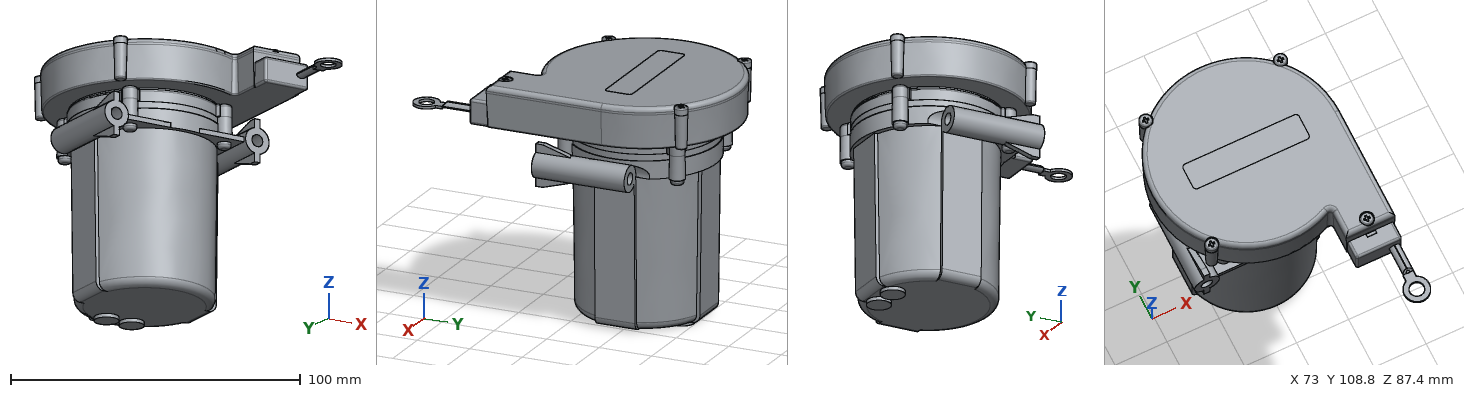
import cadquery as cq
import math


volute_radius = 35.9
volute_height = 15.2
lid_height = 2.5
lid_edge_radius = 1.7
volute_draft = 1.7
volute_foot_radius = 0.5
outlet_wall_x = 17.1
outlet_end_y = -43.7
outlet_middle_x = (outlet_wall_x + volute_radius) / 2
outlet_corner_radius = 1.1
label_length = 44.6
label_width = 10.2
label_corner_radius = 1.3
label_depth = 0.1

housing_screw_offset = 25.9
outlet_screw_y = -40.8
screw_head_diameter = 4.8
screw_head_height = 1.0
screw_head_fillet = 0.4
screw_recess_diameter = 5.1
cross_length = 2.3
cross_width = 0.7
cross_depth = 0.7
boss_lid_diameter = 4.8
boss_top_diameter = 4.6
boss_bottom_diameter = 4.0

joint_overlap = 1.1

connector_inset = 0.7
connector_end_y = -50.5
connector_top_z = -6.0
connector_fillet = 0.9
notch_width = 3.6
notch_length = 1.2
notch_depth = 0.2

terminal_x = 32.3
terminal_thickness = 1.0
terminal_bottom_z = -11.6
terminal_width = 4.0
ring_y = -68.1
ring_diameter = 9.6
ring_hole_diameter = 5.4
barrel_middle_z = -10.5
barrel_rise = 1.3
barrel_end_y = -61.3
barrel_slope_length = 1.2
seam_width = 0.2
wire_hole_diameter = 1.3
wire_hole_depth = 3.3

neck_joint_diameter = 52.8
neck_top_z = -15.7
neck_split_z = -20.3
neck_step_z = -22.7
neck_bottom_z = -29.4
neck_radius = 26.9
neck_band_radius = 26.7
neck_skirt_radius = 27.1
neck_edge_radius = 0.9

neck_screw_x = 19.1
neck_screw_y = 21.2
neck_boss_top_diameter = 5.4
neck_boss_bottom_diameter = 5.8
boss_web_width = 6.5
boss_web_setback = 0.5
screw_tip_diameter = 4.8
screw_tip_length = 2.1
screw_tip_fillet = 1.2

motor_top_diameter = 50.1
motor_foot_radius = 24.4
motor_bottom_z = -86.1
motor_edge_radius = 3.0
pad_half_width = 7.6
pad_rise = 0.1
foot_diameter = 8.7
foot_height = 1.3
foot_x = 5.1
foot_y = 16.6

tube_x = 28.6
tube_z = -28.5
tube_diameter = 9.6
tube_bore = 4.3
tube_front_y = -27.7
tube_back_y = 7.6
fin_width = 2.3
fin_half_height = 7.8
fin_land = 2.7
fin_length = 13.9
fin_tip_sink = 0.3
plate_front_y = -26.5
plate_end_x = 5.9
plate_thickness = 1.7


def box_between(low, high):
    size = [b - a for a, b in zip(low, high)]
    return cq.Workplane("XY").box(*size, centered=False).translate(low)


def cylinder(x, y, bottom_z, top_z, diameter):
    plane = cq.Workplane("XY", origin=(x, y, bottom_z))
    return plane.circle(diameter / 2).extrude(top_z - bottom_z)


def volute_outline(z):
    """Circle running straight into the outlet, with the inner corner rounded."""
    corner_x = outlet_wall_x - outlet_corner_radius
    corner_reach = volute_radius + outlet_corner_radius
    corner_y = -math.sqrt(corner_reach**2 - corner_x**2)
    shrink = volute_radius / corner_reach
    meet_x = corner_x * shrink
    meet_y = corner_y * shrink
    meet_angle = math.atan2(meet_y, meet_x) % (2 * math.pi)
    start_angle = math.atan2(-corner_y, -corner_x)
    middle_x = corner_x + outlet_corner_radius * math.cos(start_angle / 2)
    middle_y = corner_y + outlet_corner_radius * math.sin(start_angle / 2)
    circle_middle = (
        volute_radius * math.cos(meet_angle / 2),
        volute_radius * math.sin(meet_angle / 2),
    )
    return (
        cq.Workplane("XY", origin=(0, 0, z))
        .moveTo(volute_radius, 0)
        .threePointArc(circle_middle, (meet_x, meet_y))
        .threePointArc((middle_x, middle_y), (outlet_wall_x, corner_y))
        .lineTo(outlet_wall_x, outlet_end_y)
        .lineTo(volute_radius, outlet_end_y)
        .close()
    )


def make_volute():
    lid = volute_outline(-lid_height).extrude(lid_height)
    lid = lid.faces(">Z").edges().fillet(lid_edge_radius)
    body = volute_outline(-lid_height).extrude(lid_height - volute_height, taper=volute_draft)
    body = body.faces("<Z").edges().fillet(volute_foot_radius)
    label = (
        cq.Workplane("XY")
        .rect(label_length, label_width)
        .extrude(-label_depth)
        .edges("|Z")
        .fillet(label_corner_radius)
    )
    return lid.union(body).cut(label)


def screw_cross(x, y):
    top = cq.Workplane("XY", origin=(x, y, 0))
    slot = top.rect(cross_length, cross_width).extrude(-cross_depth)
    return slot.union(top.rect(cross_width, cross_length).extrude(-cross_depth))


def screw_head(x, y):
    head = cylinder(x, y, -screw_head_height, 0, screw_head_diameter)
    return head.faces(">Z").edges().fillet(screw_head_fillet)


def tapered_post(x, y, bottom_z, top_z, bottom_diameter, top_diameter):
    return (
        cq.Workplane("XY", origin=(x, y, top_z))
        .circle(top_diameter / 2)
        .workplane(offset=bottom_z - top_z)
        .circle(bottom_diameter / 2)
        .loft()
    )


def volute_boss(x, y):
    cap = cylinder(x, y, -lid_height, -screw_head_height, boss_lid_diameter)
    post = tapered_post(x, y, -volute_height, -lid_height, boss_bottom_diameter, boss_top_diameter)
    return cap.union(post.faces("<Z").edges().fillet(volute_foot_radius))


def add_housing_screws(housing):
    offset = housing_screw_offset
    rim_places = [(-offset, offset), (offset, offset), (-offset, -offset)]
    outlet_place = (outlet_middle_x, outlet_screw_y)
    for place in rim_places:
        housing = housing.union(volute_boss(*place))
    for place in rim_places + [outlet_place]:
        housing = housing.cut(cylinder(*place, -screw_head_height, 0, screw_recess_diameter))
        housing = housing.union(screw_head(*place)).cut(screw_cross(*place))
    return housing


def make_connector():
    body = box_between(
        (outlet_wall_x + connector_inset, connector_end_y, -volute_height),
        (volute_radius - connector_inset, outlet_end_y + joint_overlap, connector_top_z),
    )
    body = body.edges("|Y or <Y").fillet(connector_fillet)
    notch = box_between(
        (outlet_middle_x - notch_width / 2, outlet_end_y - notch_length, connector_top_z - notch_depth),
        (outlet_middle_x + notch_width / 2, outlet_end_y, connector_top_z),
    )
    return body.cut(notch)


def make_terminal():
    half_width = terminal_width / 2
    plate_top_z = terminal_bottom_z + terminal_thickness
    barrel_top_z = barrel_middle_z + barrel_rise
    barrel_start_y = connector_end_y + joint_overlap
    strip = box_between(
        (terminal_x - half_width, ring_y, terminal_bottom_z),
        (terminal_x + half_width, barrel_end_y, plate_top_z),
    )
    ring = cylinder(terminal_x, ring_y, terminal_bottom_z, plate_top_z, ring_diameter)
    barrel = (
        cq.Workplane("XZ", origin=(terminal_x, barrel_start_y, barrel_middle_z))
        .moveTo(-half_width, 0)
        .threePointArc((0, barrel_rise), (half_width, 0))
        .threePointArc((0, terminal_bottom_z - barrel_middle_z), (-half_width, 0))
        .close()
        .extrude(barrel_start_y - barrel_end_y)
    )
    slope_cut = (
        cq.Workplane("YZ", origin=(terminal_x, 0, 0))
        .moveTo(barrel_end_y, barrel_middle_z)
        .lineTo(barrel_end_y + barrel_slope_length, barrel_top_z)
        .lineTo(barrel_end_y, barrel_top_z)
        .close()
        .extrude(half_width, both=True)
    )
    seam = box_between(
        (terminal_x - seam_width / 2, barrel_end_y, barrel_top_z - seam_width),
        (terminal_x + seam_width / 2, connector_end_y, barrel_top_z),
    )
    wire_hole = (
        cq.Workplane("XZ", origin=(terminal_x, barrel_end_y, barrel_middle_z))
        .circle(wire_hole_diameter / 2)
        .extrude(-wire_hole_depth)
    )
    ring_hole = cylinder(terminal_x, ring_y, terminal_bottom_z, plate_top_z, ring_hole_diameter)
    barrel = barrel.cut(slope_cut).cut(seam).cut(wire_hole)
    return strip.union(ring).union(barrel).cut(ring_hole)


def boss_web(x, y):
    """Radial web with a round end that ties a boss to the top of the neck."""
    reach = math.hypot(x, y)
    web = box_between(
        (reach / 2, -boss_web_width / 2, neck_split_z),
        (reach - boss_web_setback, boss_web_width / 2, neck_top_z),
    ).rotate((0, 0, 0), (0, 0, 1), math.degrees(math.atan2(y, x)))
    return web.union(cylinder(x, y, neck_split_z, neck_top_z, neck_boss_top_diameter))


def neck_boss(x, y):
    post = tapered_post(x, y, neck_bottom_z, neck_split_z, neck_boss_bottom_diameter, neck_boss_top_diameter)
    tip_bottom_z = neck_bottom_z - screw_tip_length
    tip = cylinder(x, y, tip_bottom_z, neck_bottom_z, screw_tip_diameter)
    return post.union(tip.faces("<Z").edges().fillet(screw_tip_fillet))


def make_neck():
    places = [(sx * neck_screw_x, sy * neck_screw_y) for sx in (-1, 1) for sy in (-1, 1)]
    neck = cylinder(0, 0, neck_split_z, neck_top_z, 2 * neck_radius)
    for place in places:
        neck = neck.union(boss_web(*place))
    neck = neck.faces(">Z").edges().fillet(neck_edge_radius)
    neck = neck.union(cylinder(0, 0, neck_step_z, neck_split_z, 2 * neck_band_radius))
    neck = neck.union(cylinder(0, 0, neck_bottom_z, neck_step_z, 2 * neck_skirt_radius))
    neck = neck.union(cylinder(0, 0, neck_split_z, -volute_height, neck_joint_diameter))
    for place in places:
        neck = neck.union(neck_boss(*place))
    return neck


def motor_profile(rise):
    """Half section of the can: tapered wall and rounded bottom edge."""
    wall_z = motor_bottom_z + motor_edge_radius
    foot = motor_foot_radius + rise
    foot_flat = foot - motor_edge_radius
    bend = motor_edge_radius * math.sqrt(0.5)
    return (
        cq.Workplane("XZ")
        .moveTo(0, neck_bottom_z)
        .lineTo(motor_top_diameter / 2 + rise, neck_bottom_z)
        .lineTo(foot, wall_z)
        .threePointArc((foot_flat + bend, wall_z - bend), (foot_flat, motor_bottom_z))
        .lineTo(0, motor_bottom_z)
        .close()
    )


def make_motor():
    can = motor_profile(0).revolve(360, (0, 0, 0), (0, 1, 0))
    pad = motor_profile(pad_rise).extrude(pad_half_width, both=True)
    for angle in (0, 90, 180):
        can = can.union(pad.rotate((0, 0, 0), (0, 0, 1), angle))
    for x in (-foot_x, foot_x):
        can = can.union(cylinder(x, foot_y, motor_bottom_z - foot_height, motor_bottom_z, foot_diameter))
    return can


def tube_rod(side, diameter, start_y, end_y):
    plane = cq.Workplane("XZ", origin=(side * tube_x, start_y, tube_z))
    return plane.circle(diameter / 2).extrude(start_y - end_y)


def mounting_arm(side):
    tube = tube_rod(side, tube_diameter, tube_back_y, tube_front_y)
    fin_tip_height = tube_diameter / 2 - fin_tip_sink
    fin = (
        cq.Workplane("YZ", origin=(side * tube_x, tube_front_y, tube_z))
        .moveTo(0, -fin_half_height)
        .lineTo(fin_land, -fin_half_height)
        .lineTo(fin_length, -fin_tip_height)
        .lineTo(fin_length, fin_tip_height)
        .lineTo(fin_land, fin_half_height)
        .lineTo(0, fin_half_height)
        .close()
        .extrude(fin_width / 2, both=True)
    )
    plate = box_between(
        (plate_end_x, plate_front_y, neck_bottom_z),
        (tube_x, -pad_half_width, neck_bottom_z + plate_thickness),
    )
    if side < 0:
        plate = plate.mirror("YZ")
    return tube.union(fin).union(plate)


result = add_housing_screws(make_volute())
result = result.union(make_connector()).union(make_terminal())
result = result.union(make_neck()).union(make_motor())
for side in (-1, 1):
    result = result.cut(tube_rod(side, tube_diameter, neck_skirt_radius, tube_back_y))
    result = result.union(mounting_arm(side))
    result = result.cut(tube_rod(side, tube_bore, tube_back_y, tube_front_y))